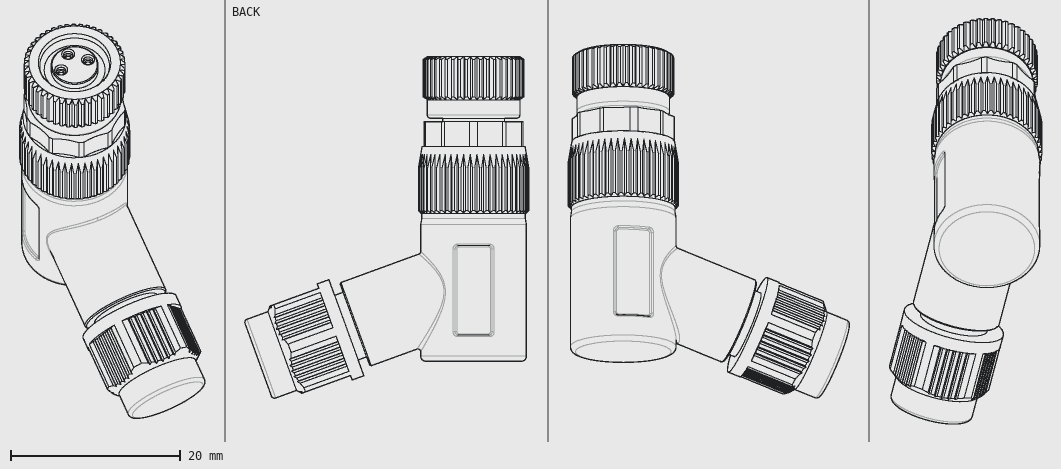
import cadquery as cq
import math

BODY_RADIUS = 6.25
BODY_HEIGHT = 16.8
BODY_BOTTOM_FILLET = 0.6
BODY_TOP_CHAMFER_RADIAL = 0.12
BODY_TOP_CHAMFER_HEIGHT = 0.72

POCKET_WIDTH = 4.75
POCKET_BOTTOM = 2.9
POCKET_TOP = 13.8
POCKET_DEPTH = 0.35
POCKET_CORNER_RADIUS = 0.4
POCKET_MOUTH_FILLET = 0.18
POCKET_FLOOR_FILLET = 0.15

CREST_SHARE = 0.35

RING_TOP = 25.3
RING_BOTTOM = 17.37
RING_CREST_RADIUS = 6.495
RING_ROOT_RADIUS = 6.25
RING_TOP_RADIUS = 6.07
RING_SHOULDER_HEIGHT = 2.5
RING_CHAMFER = 0.35
RING_TEETH = 50
RING_NECK_RADIUS = BODY_RADIUS - BODY_TOP_CHAMFER_RADIAL

WRENCH_TOP = 28.2
WRENCH_RADIUS = 6.05
WRENCH_APOTHEM = 5.65
WRENCH_HOLLOW_RADIUS = 8.05
WRENCH_FACE_ANGLES = (0, 36, 70.5, 109.5, 144, 180, 216, 250.5, 289.5, 324)

NUT_TOP = 35.85
KNURL_BOTTOM = 30.75
NUT_CREST_RADIUS = 5.95
NUT_ROOT_RADIUS = 5.4
NUT_TEETH = 44
NUT_CHAMFER_HEIGHT = 0.35
COLLAR_RADIUS = 5.45
COLLAR_BOTTOM = 28.6
COLLAR_FILLET = 0.4
NECK_RADIUS = 3.65

SOCKET_RADIUS = 4.25
SOCKET_SEAT_RADIUS = 4.1
SOCKET_SEAT_DEPTH = 0.65
SOCKET_FLOOR_RADIUS = 3.58
SOCKET_DEPTH = 1.4
INSERT_RADIUS = 2.77
INSERT_CHAMFER = 0.12
INSERT_RECESS = 0.45
PIN_CIRCLE_RADIUS = 1.75
PIN_ANGLES = (90, 180, 270)
PIN_COUNTERSINK_RADIUS = 0.75
PIN_HOLE_RADIUS = 0.55
PIN_STEP_DEPTH = 0.6
PIN_CONTACT_RADIUS = 0.35
PIN_CONTACT_DEPTH = 0.92

BRANCH_SLOPE = 20
BRANCH_AXIS_HEIGHT = 9.4
BRANCH_RADIUS = 5.23
BRANCH_END = 14.88
BRANCH_FILLET = 0.32
BRANCH_END_CHAMFER = 0.15
BRANCH_NECK_RADIUS = 4.05
GLAND_START = 15.92
GLAND_FLANGE_END = 17.4
GLAND_RADIUS = 6.05
GLAND_CONE_START = 23.05
GLAND_CONE_END = 23.95
GLAND_TAIL_RADIUS = 4.95
GLAND_END = 27.0
GLAND_END_FILLET = 0.4
GLAND_FLATS = 6
GLAND_FLAT_APOTHEM = 5.45
GRIP_GROOVES = 5
GRIP_GROOVE_PITCH = 0.8
GRIP_GROOVE_WIDTH = 0.35
GRIP_GROOVE_DEPTH = 0.25


def revolved(profile):
    """Solid of revolution about Z from (radius, height) points, closed along the axis."""
    points = [(0, profile[0][1])] + profile + [(0, profile[-1][1])]
    return cq.Workplane("XZ").polyline(points).close().revolve(360, (0, 0, 0), (0, 1, 0))


def cylinder(radius, bottom, top):
    return cq.Workplane("XY").workplane(offset=bottom).circle(radius).extrude(top - bottom)


def toothed_prism(teeth, crest_radius, root_radius, bottom, top):
    """Prism with flat-topped teeth parted by sharp V-grooves; one tooth points along +Y."""
    pitch = 2 * math.pi / teeth
    half_crest = CREST_SHARE * pitch / 2
    points = []
    for tooth in range(teeth):
        middle = math.pi / 2 + tooth * pitch
        for radius, angle in (
            (crest_radius, middle - half_crest),
            (crest_radius, middle + half_crest),
            (root_radius, middle + pitch / 2),
        ):
            points.append((radius * math.cos(angle), radius * math.sin(angle)))
    return cq.Workplane("XY").workplane(offset=bottom).polyline(points).close().extrude(top - bottom)


def along_branch(solid):
    """Move a solid built along Z onto the branch axis."""
    return solid.rotate((0, 0, 0), (0, 1, 0), 90 + BRANCH_SLOPE).translate((0, 0, BRANCH_AXIS_HEIGHT))


def make_body():
    body = revolved([
        (BODY_RADIUS, 0),
        (BODY_RADIUS, BODY_HEIGHT - BODY_TOP_CHAMFER_HEIGHT),
        (BODY_RADIUS - BODY_TOP_CHAMFER_RADIAL, BODY_HEIGHT),
    ])
    arm = along_branch(cylinder(BRANCH_RADIUS, 0, BRANCH_END).faces(">Z").chamfer(BRANCH_END_CHAMFER))
    joined = body.union(arm)
    joint = joined.edges().filter(lambda edge: edge.geomType() not in ("LINE", "CIRCLE"))
    joined = joint.fillet(BRANCH_FILLET)
    return joined.faces("<Z").edges().fillet(BODY_BOTTOM_FILLET)


def lies_on_pocket_mouth(edge):
    """True for the edges where the pocket walls meet the outside of the body."""
    ends = (edge.startPoint(), edge.endPoint())
    on_surface = all(math.isclose(math.hypot(end.x, end.y), BODY_RADIUS, abs_tol=0.005) for end in ends)
    in_pocket = all(end.y < 0 and POCKET_BOTTOM < end.z < POCKET_TOP for end in ends)
    near_pocket = all(abs(end.x) < POCKET_WIDTH / 2 for end in ends)
    return on_surface and in_pocket and near_pocket


def cut_label_pocket(body):
    """Rounded pocket on the -Y side with a floor curved like the body."""
    height = POCKET_TOP - POCKET_BOTTOM
    floor = cylinder(BODY_RADIUS - POCKET_DEPTH, 0, BODY_HEIGHT)
    tool = (
        cq.Workplane("XZ", origin=(0, 0, (POCKET_TOP + POCKET_BOTTOM) / 2))
        .rect(POCKET_WIDTH - 2 * POCKET_MOUTH_FILLET, height - 2 * POCKET_MOUTH_FILLET)
        .extrude(BODY_RADIUS + POCKET_DEPTH)
        .edges("|Y").fillet(POCKET_CORNER_RADIUS)
        .cut(floor)
    )
    tool = tool.faces(">Y").edges().fillet(POCKET_FLOOR_FILLET)
    recessed = body.cut(tool)
    return recessed.edges().filter(lies_on_pocket_mouth).fillet(POCKET_MOUTH_FILLET)


def make_grip_ring():
    shoulder = RING_TOP - RING_SHOULDER_HEIGHT
    envelope = revolved([
        (RING_CREST_RADIUS - RING_CHAMFER, RING_BOTTOM),
        (RING_CREST_RADIUS, RING_BOTTOM + RING_CHAMFER),
        (RING_CREST_RADIUS, shoulder),
        (RING_TOP_RADIUS, RING_TOP),
    ])
    teeth = toothed_prism(RING_TEETH, RING_CREST_RADIUS, RING_ROOT_RADIUS, RING_BOTTOM, RING_TOP)
    neck = cylinder(RING_NECK_RADIUS, BODY_HEIGHT, RING_BOTTOM)
    return envelope.intersect(teeth).union(neck)


def make_wrench_section():
    section = cylinder(WRENCH_RADIUS, RING_TOP, WRENCH_TOP)
    hollow = cylinder(WRENCH_HOLLOW_RADIUS, RING_TOP, WRENCH_TOP)
    hollow = hollow.translate((WRENCH_APOTHEM + WRENCH_HOLLOW_RADIUS, 0, 0))
    for angle in WRENCH_FACE_ANGLES:
        section = section.cut(hollow.rotate((0, 0, 0), (0, 0, 1), angle))
    return section


def make_coupling_nut():
    envelope = revolved([
        (NUT_ROOT_RADIUS, KNURL_BOTTOM),
        (NUT_CREST_RADIUS, KNURL_BOTTOM + NUT_CHAMFER_HEIGHT),
        (NUT_CREST_RADIUS, NUT_TOP - NUT_CHAMFER_HEIGHT),
        (NUT_ROOT_RADIUS, NUT_TOP),
    ])
    teeth = toothed_prism(NUT_TEETH, NUT_CREST_RADIUS, NUT_ROOT_RADIUS, KNURL_BOTTOM, NUT_TOP)
    collar = cylinder(COLLAR_RADIUS, COLLAR_BOTTOM, KNURL_BOTTOM).faces("<Z").edges().fillet(COLLAR_FILLET)
    neck = cylinder(NECK_RADIUS, WRENCH_TOP, COLLAR_BOTTOM)
    return envelope.intersect(teeth).union(collar).union(neck)


def make_socket():
    """Tapering bore cut from the nut, leaving the contact insert standing in it."""
    bore = revolved([
        (SOCKET_FLOOR_RADIUS, NUT_TOP - SOCKET_DEPTH),
        (SOCKET_SEAT_RADIUS, NUT_TOP - SOCKET_SEAT_DEPTH),
        (SOCKET_RADIUS, NUT_TOP),
    ])
    insert_top = NUT_TOP - INSERT_RECESS
    insert = cylinder(INSERT_RADIUS, NUT_TOP - SOCKET_DEPTH, insert_top).faces(">Z").chamfer(INSERT_CHAMFER)
    countersink_depth = PIN_COUNTERSINK_RADIUS - PIN_HOLE_RADIUS
    pin_hole = revolved([
        (PIN_CONTACT_RADIUS, insert_top - PIN_CONTACT_DEPTH),
        (PIN_CONTACT_RADIUS, insert_top - PIN_STEP_DEPTH),
        (PIN_HOLE_RADIUS, insert_top - PIN_STEP_DEPTH),
        (PIN_HOLE_RADIUS, insert_top - countersink_depth),
        (PIN_COUNTERSINK_RADIUS, insert_top),
    ])
    for angle in PIN_ANGLES:
        x = PIN_CIRCLE_RADIUS * math.cos(math.radians(angle))
        y = PIN_CIRCLE_RADIUS * math.sin(math.radians(angle))
        insert = insert.cut(pin_hole.translate((x, y, 0)))
    return bore.cut(insert)


def make_gland_nut():
    nut = revolved([
        (GLAND_RADIUS, GLAND_START),
        (GLAND_RADIUS, GLAND_CONE_START),
        (GLAND_TAIL_RADIUS, GLAND_CONE_END),
        (GLAND_TAIL_RADIUS, GLAND_END),
    ])
    nut = nut.faces(">Z").edges().fillet(GLAND_END_FILLET)
    length = GLAND_CONE_END - GLAND_FLANGE_END
    flat_depth = GLAND_RADIUS - GLAND_FLAT_APOTHEM
    cutter = cq.Workplane("XY").box(
        flat_depth, 2 * GLAND_RADIUS, length, centered=(False, True, False)
    ).translate((GLAND_FLAT_APOTHEM, 0, GLAND_FLANGE_END))
    for groove in range(GRIP_GROOVES):
        offset = (groove - (GRIP_GROOVES - 1) / 2) * GRIP_GROOVE_PITCH
        slot = (
            cq.Workplane("XY", origin=(GLAND_FLAT_APOTHEM, offset, GLAND_FLANGE_END))
            .polyline([
                (0, -GRIP_GROOVE_WIDTH / 2),
                (-GRIP_GROOVE_DEPTH, 0),
                (0, GRIP_GROOVE_WIDTH / 2),
            ])
            .close().extrude(length)
        )
        cutter = cutter.union(slot)
    for flat in range(GLAND_FLATS):
        nut = nut.cut(cutter.rotate((0, 0, 0), (0, 0, 1), flat * 360 / GLAND_FLATS))
    neck = cylinder(BRANCH_NECK_RADIUS, BRANCH_END, GLAND_START)
    return along_branch(nut.union(neck))


body = cut_label_pocket(make_body())
body = cut_label_pocket(body.mirror("XZ"))

result = (
    body
    .union(make_grip_ring())
    .union(make_wrench_section())
    .union(make_coupling_nut())
    .cut(make_socket())
    .union(make_gland_nut())
)